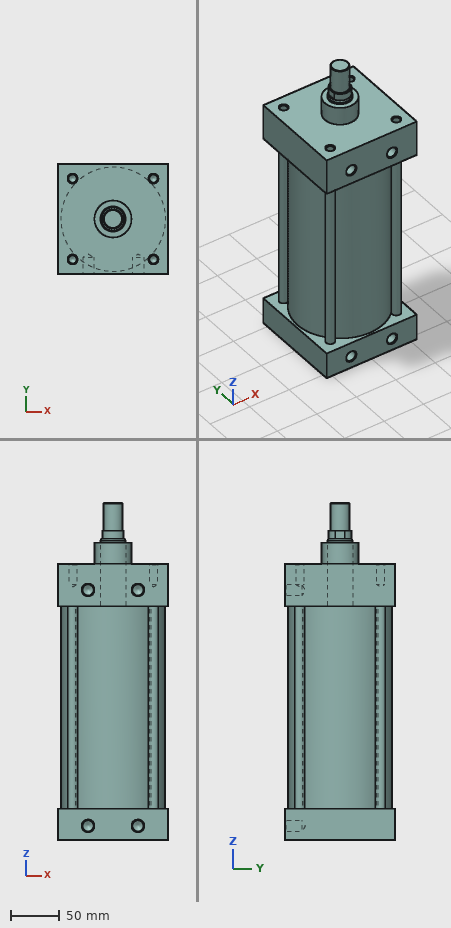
import cadquery as cq
import math

cap_side = 114.2
rear_cap_height = 32.5
front_cap_base = 242.0
front_cap_top = 286.0
front_cap_height = front_cap_top - front_cap_base

tube_diameter = 108.3
tie_rod_diameter = 10.5
tie_rod_spacing = 83.8
tie_rod_offset = tie_rod_spacing / 2
tie_rod_length = front_cap_base - rear_cap_height

collar_diameter = 38.5
collar_top = 308.0

drill_point_angle = 118.0

mount_hole_diameter = 8.5
mount_hole_mouth = 10.5
mount_hole_depth = 21.0

port_offset = 26.0
port_diameter = 11.5
port_mouth = 13.3
port_depth = 17.5
rear_port_height = 14.5
front_port_height = 259.0

overall_height = 349.2
rod_diameter = 26.2
neck_diameter = 24.0
stud_diameter = 20.0
stud_tip_chamfer = 0.7
flats_width = 22.0
rod_shoulder = 310.0
flats_base = 312.2
stud_base = 320.5
rod_bottom = front_cap_base


def cylinder(diameter, base, top):
    """Cylinder on the Z axis between two heights."""
    return cq.Workplane("XY").workplane(offset=base).circle(diameter / 2).extrude(top - base)


def cap(base, height):
    """Square end cap centred on the Z axis."""
    return cq.Workplane("XY").workplane(offset=base).rect(cap_side, cap_side).extrude(height)


def chamfered_hole(diameter, mouth, depth, position, direction):
    """Cutter for a blind hole with a 45 degree chamfer at its mouth and a drill cone at its bottom."""
    radius = diameter / 2
    chamfer = mouth / 2 - radius
    tip_depth = depth + radius / math.tan(math.radians(drill_point_angle / 2))
    profile = [(0, 0), (mouth / 2, 0), (radius, chamfer), (radius, depth), (0, tip_depth)]
    cutter = cq.Workplane("XY").polyline(profile).close().revolve(360, (0, 0), (0, 1))
    plane = cq.Plane(origin=position, xDir=(1, 0, 0), normal=direction)
    return cutter.rotate((0, 0, 0), (1, 0, 0), 90).val().moved(plane.location)


def make_housing():
    """Both caps, tube, tie rods and collar, bored for the piston rod."""
    sides = (-tie_rod_offset, tie_rod_offset)
    corners = [(x, y) for x in sides for y in sides]
    body = cap(0, rear_cap_height)
    body = body.union(cap(front_cap_base, front_cap_height))
    body = body.union(cylinder(tube_diameter, rear_cap_height, front_cap_base))
    body = body.union(cylinder(collar_diameter, front_cap_top, collar_top))
    tie_rods = (
        cq.Workplane("XY").workplane(offset=rear_cap_height)
        .pushPoints(corners).circle(tie_rod_diameter / 2).extrude(tie_rod_length)
    )
    body = body.union(tie_rods)

    for x, y in corners:
        position = (x, y, front_cap_top)
        hole = chamfered_hole(mount_hole_diameter, mount_hole_mouth, mount_hole_depth, position, (0, 0, -1))
        body = body.cut(cq.Workplane(hole))

    for height in (rear_port_height, front_port_height):
        for x in (-port_offset, port_offset):
            position = (x, -cap_side / 2, height)
            port = chamfered_hole(port_diameter, port_mouth, port_depth, position, (0, 1, 0))
            body = body.cut(cq.Workplane(port))

    return body.cut(cylinder(rod_diameter, rod_bottom, collar_top))


def make_piston_rod():
    """Stepped rod with two wrench flats facing along X, a conical shoulder and a stud at its tip."""
    rod = cylinder(rod_diameter, rod_bottom, rod_shoulder)
    shoulder_cone = (
        cq.Workplane("XY").workplane(offset=rod_shoulder).circle(rod_diameter / 2)
        .workplane(offset=flats_base - rod_shoulder).circle(neck_diameter / 2).loft()
    )
    rod = rod.union(shoulder_cone)
    wrench_block = (
        cq.Workplane("XY").workplane(offset=flats_base)
        .rect(flats_width, neck_diameter).extrude(stud_base - flats_base)
    )
    rod = rod.union(cylinder(neck_diameter, flats_base, stud_base).intersect(wrench_block))
    stud = cylinder(stud_diameter, stud_base, overall_height).faces(">Z").chamfer(stud_tip_chamfer)
    return rod.union(stud)


housing = make_housing()
piston_rod = make_piston_rod()

result = cq.Compound.makeCompound([housing.val(), piston_rod.val()])